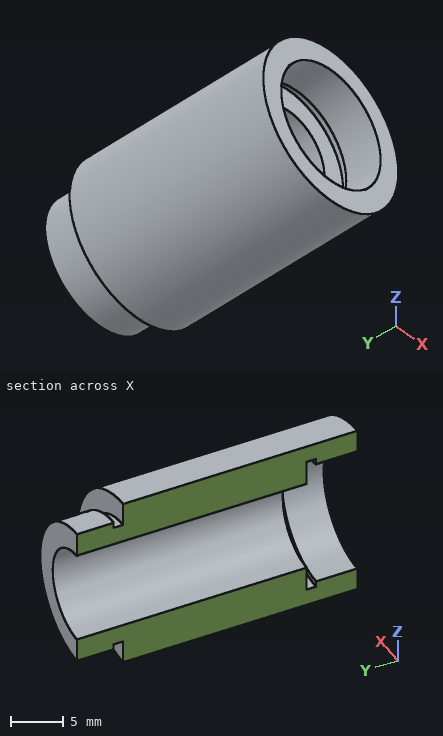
import cadquery as cq

BODY_DIAMETER = 19.05
BODY_LENGTH = 25.4

COLLAR_DIAMETER = 15.25
COLLAR_LENGTH = 4.0
NECK_DIAMETER = 14.05
NECK_LENGTH = 1.0

BORE_DIAMETER = 10.0
SOCKET_DIAMETER = 14.0
SOCKET_DEPTH = 5.5
RELIEF_DIAMETER = 15.25
RELIEF_WIDTH = 1.0

NECK_END = BODY_LENGTH + NECK_LENGTH
TOTAL_LENGTH = NECK_END + COLLAR_LENGTH


def cylinder(diameter, start, length):
    """Solid cylinder on the Y axis, running from Y = start toward +Y."""
    return cq.Workplane("XZ", origin=(0, start, 0)).circle(diameter / 2).extrude(-length)


def outer_shape():
    body = cylinder(BODY_DIAMETER, 0, BODY_LENGTH)
    neck = cylinder(NECK_DIAMETER, BODY_LENGTH, NECK_LENGTH)
    collar = cylinder(COLLAR_DIAMETER, NECK_END, COLLAR_LENGTH)
    return body.union(neck).union(collar)


def cavity():
    bore = cylinder(BORE_DIAMETER, 0, TOTAL_LENGTH)
    socket = cylinder(SOCKET_DIAMETER, 0, SOCKET_DEPTH)
    relief = cylinder(RELIEF_DIAMETER, SOCKET_DEPTH - RELIEF_WIDTH, RELIEF_WIDTH)
    return bore.union(socket).union(relief)


result = outer_shape().cut(cavity())